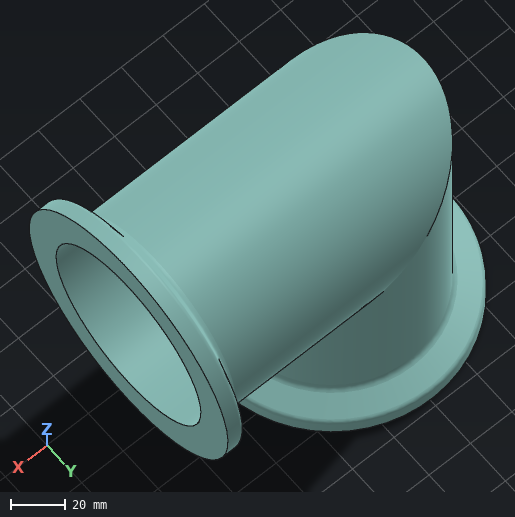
import cadquery as cq
import math

overall_length = 155.0
flange_diameter = 114.0
tube_diameter = 89.0
bore_diameter = 83.0
flange_edge_height = 7.5
cone_angle = 20.0
rim_radius = 2.0
root_radius = 3.0

flange_radius = flange_diameter / 2
tube_radius = tube_diameter / 2
bore_radius = bore_diameter / 2
leg_length = overall_length - flange_radius
cone_height = (flange_radius - tube_radius) * math.tan(math.radians(cone_angle))
rim_corner_z = flange_edge_height - leg_length
root_corner_z = rim_corner_z + cone_height


def round_corner(body, corner_z, radius):
    """Fillet the circular edge that lies at height corner_z."""
    reach = flange_diameter
    margin = cone_height / 4
    edge_box = cq.selectors.BoxSelector(
        (-reach, -reach, corner_z - margin),
        (reach, reach, corner_z + margin),
        boundingbox=True,
    )
    return body.edges(edge_box).fillet(radius)


def flanged_bar():
    """Vertical solid bar with a cone-backed flange at its lower end."""
    bar = (
        cq.Workplane("XZ")
        .moveTo(0, -leg_length)
        .lineTo(flange_radius, -leg_length)
        .lineTo(flange_radius, rim_corner_z)
        .lineTo(tube_radius, root_corner_z)
        .lineTo(tube_radius, leg_length)
        .lineTo(0, leg_length)
        .close()
        .revolve(360, (0, 0, 0), (0, 1, 0))
    )
    bar = round_corner(bar, root_corner_z, root_radius)
    return round_corner(bar, rim_corner_z, rim_radius)


def mitred_leg():
    """Bored vertical leg, cut on the 45 degree plane z = -x."""
    bore = (
        cq.Workplane("XY")
        .workplane(offset=-leg_length)
        .circle(bore_radius)
        .extrude(2 * leg_length)
    )
    kept_side = (
        cq.Workplane("XZ")
        .moveTo(-overall_length, overall_length)
        .lineTo(overall_length, -overall_length)
        .lineTo(-overall_length, -overall_length)
        .close()
        .extrude(overall_length, both=True)
    )
    return flanged_bar().cut(bore).intersect(kept_side)


lower_leg = mitred_leg()
side_leg = lower_leg.rotate((0, 0, 0), (0, 0, 1), 180).rotate((0, 0, 0), (0, 1, 0), -90)

result = lower_leg.union(side_leg)